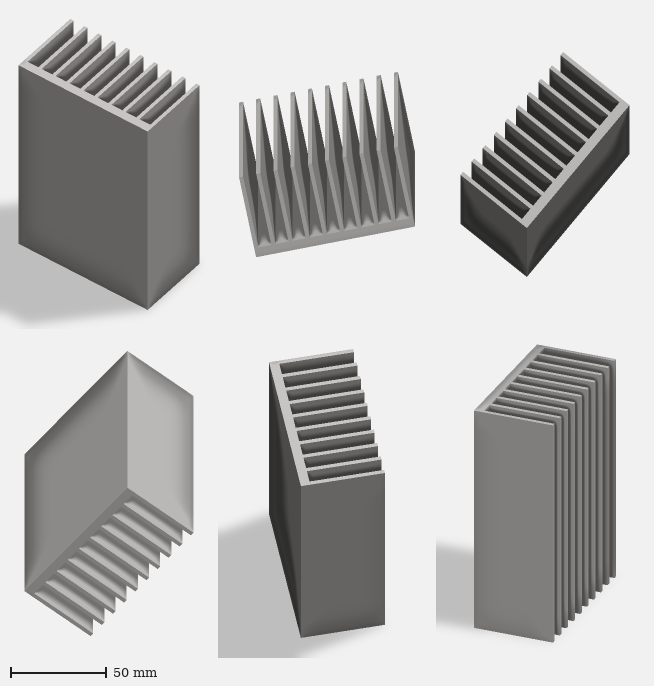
import cadquery as cq

width = 85.0
depth = 45.0
height = 127.0

base_thickness = 5.1
fin_thickness = 2.2
fin_count = 10
fin_pitch = (width - fin_thickness) / (fin_count - 1)


def make_base():
    return cq.Workplane("XY").box(width, base_thickness, height, centered=False)


def make_fin(index):
    fin = cq.Workplane("XY").box(fin_thickness, depth, height, centered=False)
    return fin.translate((index * fin_pitch, 0, 0))


heat_sink = make_base()
for fin_index in range(fin_count):
    heat_sink = heat_sink.union(make_fin(fin_index))

result = heat_sink.translate((-width / 2, -depth / 2, -height / 2))